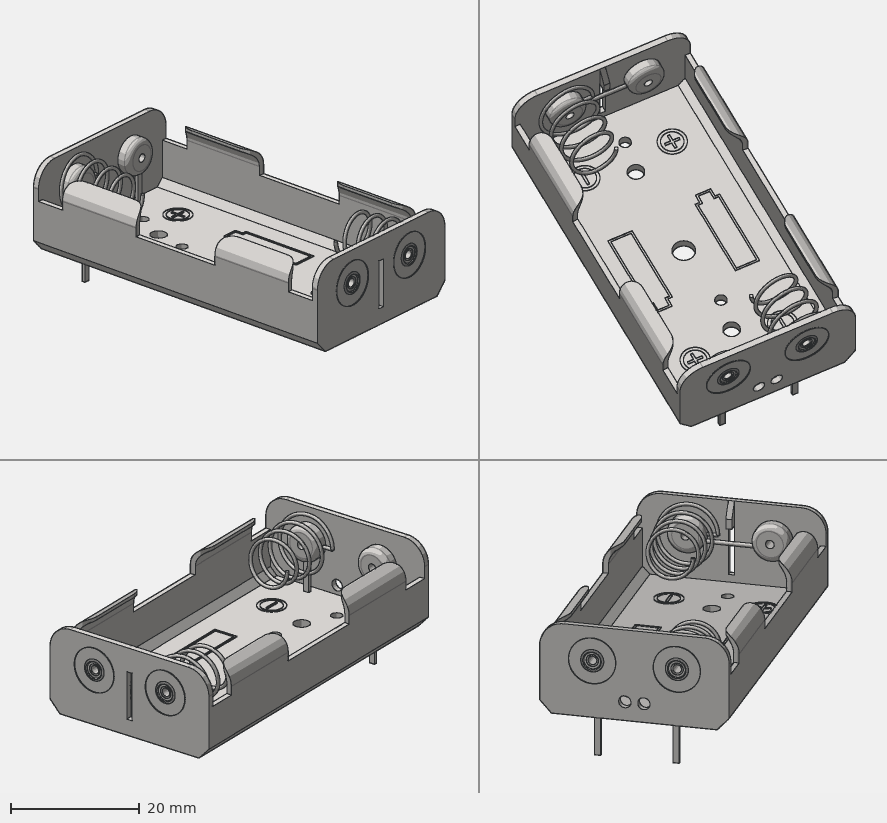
import cadquery as cq
import math

LENGTH = 58.0
WIDTH = 30.5
END_HEIGHT = 15.15
SIDE_HEIGHT = 9.1
END_WALL = 1.05
SIDE_WALL = 0.9
FLOOR = 1.5
END_CORNER_RADIUS = 3.95
BOTTOM_CHAMFER = (1.9, 2.1)
INNER_CHAMFER = 1.2

CLIP_LENGTH = 15.0
CLIP_CENTRE_X = 15.55
CLIP_BEND_HEIGHT = 10.6
CLIP_OUTER_RADIUS = 6.2 / 2
CLIP_INNER_RADIUS = 2.6
CLIP_OVERHANG = 2.8
CLIP_CORNER_RADIUS = 2.6

CONTACT_SPACING = 13.65
CONTACT_Z = 9.4
BUTTON_DIAMETER = 6.2
BUTTON_HEIGHT = 2.25
BUTTON_FILLET = 0.9
RIVET_BORE = 1.4
RECESS_DIAMETER = 7.6
RECESS_DEPTH = 0.2
RIM_DIAMETER = 3.7
RIM_BORE = 2.7
RIM_FILLET = 0.1
RIM_BORE_CHAMFER = 0.145
COUNTERBORE_DIAMETER = 2.0
COUNTERBORE_DEPTH = 0.1

SPRING_WIRE = 0.6
SPRING_BASE_RADIUS = 4.8
SPRING_TIP_RADIUS = 3.65
SPRING_TURNS = 4
SPRING_PITCH = 2.95
BASE_FLAT_TURNS = 0.2
TIP_FLAT_TURNS = 0.3
SPRING_BASE_GAP = 0.6
POINTS_PER_TURN = 16

LINK_WIRE = 0.7
LINK_Z = 8.1
HOOK_WIDTH = 1.0
HOOK_DEPTH = 1.5
HOOK_BOTTOM = 10.95
HOOK_SHOULDER = 12.6
SLOT_BOTTOM = 2.8

PIN_X = -26.2
PIN_YS = (6.6, -6.05)
PIN_SIZE = (0.6, 1.0)
PIN_LENGTH = 7.25

FLOOR_HOLES = (
    (0, 0, 3.65),
    (-16.5, 0, 2.7),
    (16.5, 0, 2.7),
    (-22.0, 2.7, 1.9),
    (-10.85, -1.0, 1.9),
    (22.15, -1.0, 1.9),
)
WIRE_HOLE_DIAMETER = 2.0
WIRE_HOLE_SPACING = 3.1
WIRE_HOLE_Z = 3.15

MARK_DEPTH = 0.1
MARK_LINE = 0.35
CELL_Y = 7.6
CELL_SIZE = (13.85, 4.25)
CELL_TIP = (1.5, 2.65)
SIGN_X = 19.0
SIGN_OUTER_DIAMETER = 4.7
SIGN_INNER_DIAMETER = 3.65
SIGN_BAR = (2.55, 0.4)

INNER_X = LENGTH / 2 - END_WALL
HALF_WIDTH = WIDTH / 2
INNER_Y = HALF_WIDTH - SIDE_WALL
CONTACT_Y = CONTACT_SPACING / 2


def turned(shape):
    """The same shape turned half a turn about the Z axis."""
    return shape.rotate((0, 0, 0), (0, 0, 1), 180)


def block(x_range, y_range, z_range):
    """Box between two limits on each axis."""
    sizes = [high - low for low, high in (x_range, y_range, z_range)]
    corner = (x_range[0], y_range[0], z_range[0])
    return cq.Workplane("XY").box(*sizes, centered=False).translate(corner)


def cylinder_x(diameter, x_start, x_end, y, z):
    """Cylinder along X between two places."""
    plane = cq.Workplane("YZ", origin=(x_start, 0, 0))
    return plane.center(y, z).circle(diameter / 2).extrude(x_end - x_start)


def make_tray():
    """Open tray with tall rounded ends, low sides and chamfered long bottom edges."""
    across, up = BOTTOM_CHAMFER
    outline = (
        cq.Workplane("YZ", origin=(-LENGTH / 2, 0, 0))
        .moveTo(-HALF_WIDTH + across, 0)
        .lineTo(HALF_WIDTH - across, 0)
        .lineTo(HALF_WIDTH, up)
        .lineTo(HALF_WIDTH, END_HEIGHT)
        .lineTo(-HALF_WIDTH, END_HEIGHT)
        .lineTo(-HALF_WIDTH, up)
        .close()
    )
    body = outline.extrude(LENGTH).edges("|X and >Z").fillet(END_CORNER_RADIUS)
    cavity = (
        block((-INNER_X, INNER_X), (-INNER_Y, INNER_Y), (FLOOR, END_HEIGHT))
        .edges("|X and <Z")
        .chamfer(INNER_CHAMFER)
    )
    above_sides = block((-INNER_X, INNER_X), (-HALF_WIDTH, HALF_WIDTH), (SIDE_HEIGHT, END_HEIGHT))
    return body.cut(cavity).cut(above_sides)


def make_clip(x_centre):
    """Clip on the -Y side: the wall carried up and bent inwards, with rounded free corners."""
    outer_y = -HALF_WIDTH + CLIP_OUTER_RADIUS
    inner_y = -INNER_Y + CLIP_INNER_RADIUS
    outer_diagonal = CLIP_OUTER_RADIUS * math.sqrt(0.5)
    inner_diagonal = CLIP_INNER_RADIUS * math.sqrt(0.5)
    curl = (
        cq.Workplane("YZ", origin=(x_centre - CLIP_LENGTH / 2, 0, 0))
        .moveTo(-HALF_WIDTH, SIDE_HEIGHT)
        .lineTo(-HALF_WIDTH, CLIP_BEND_HEIGHT)
        .threePointArc(
            (outer_y - outer_diagonal, CLIP_BEND_HEIGHT + outer_diagonal),
            (outer_y, CLIP_BEND_HEIGHT + CLIP_OUTER_RADIUS),
        )
        .lineTo(inner_y, CLIP_BEND_HEIGHT + CLIP_INNER_RADIUS)
        .threePointArc(
            (inner_y - inner_diagonal, CLIP_BEND_HEIGHT + inner_diagonal),
            (-INNER_Y, CLIP_BEND_HEIGHT),
        )
        .lineTo(-INNER_Y, SIDE_HEIGHT)
        .close()
        .extrude(CLIP_LENGTH)
    )
    plan = block(
        (x_centre - CLIP_LENGTH / 2, x_centre + CLIP_LENGTH / 2),
        (-HALF_WIDTH, -HALF_WIDTH + CLIP_OVERHANG),
        (SIDE_HEIGHT, END_HEIGHT),
    )
    return curl.intersect(plan.edges("|Z and >Y").fillet(CLIP_CORNER_RADIUS))


def make_button(y):
    """Round contact button on the inside of the +X end wall."""
    button = cylinder_x(BUTTON_DIAMETER, INNER_X - BUTTON_HEIGHT, INNER_X, y, CONTACT_Z)
    return button.faces("<X").edges().fillet(BUTTON_FILLET)


def cut_contact(tray, y):
    """Shallow recess with a rolled rivet rim on the outside of the +X end wall, bored through."""
    recess_floor = LENGTH / 2 - RECESS_DEPTH
    recess = cylinder_x(RECESS_DIAMETER, recess_floor, LENGTH / 2, y, CONTACT_Z)
    rim = cylinder_x(RIM_DIAMETER, recess_floor, LENGTH / 2, y, CONTACT_Z)
    rim = rim.faces(">X").edges().fillet(RIM_FILLET)
    rim = rim.cut(cylinder_x(RIM_BORE, recess_floor, LENGTH / 2, y, CONTACT_Z))
    rim = rim.faces(">X").edges(cq.selectors.RadiusNthSelector(0)).chamfer(RIM_BORE_CHAMFER)
    counterbore = cylinder_x(
        COUNTERBORE_DIAMETER, recess_floor - COUNTERBORE_DEPTH, recess_floor, y, CONTACT_Z
    )
    bore = cylinder_x(RIVET_BORE, INNER_X - BUTTON_HEIGHT, LENGTH / 2, y, CONTACT_Z)
    return tray.cut(recess).union(rim).cut(counterbore).cut(bore)


def make_spring():
    """Tapering coil spring around the +X, +Y button, with a stub joining it to the button."""
    base_x = INNER_X - SPRING_BASE_GAP
    last_advancing_turn = SPRING_TURNS - TIP_FLAT_TURNS
    points = []
    for step in range(SPRING_TURNS * POINTS_PER_TURN + 1):
        turn = step / POINTS_PER_TURN
        angle = 2 * math.pi * turn
        advancing_turns = min(max(turn, BASE_FLAT_TURNS), last_advancing_turn) - BASE_FLAT_TURNS
        taper = (SPRING_BASE_RADIUS - SPRING_TIP_RADIUS) * turn / SPRING_TURNS
        radius = SPRING_BASE_RADIUS - taper
        points.append(
            cq.Vector(
                base_x - SPRING_PITCH * advancing_turns,
                CONTACT_Y - radius * math.cos(angle),
                CONTACT_Z + radius * math.sin(angle),
            )
        )
    path = cq.Workplane(cq.Edge.makeSpline(points))
    start = points[0].toTuple()
    coil = (
        cq.Workplane("XY", origin=start)
        .circle(SPRING_WIRE / 2)
        .sweep(path, isFrenet=True)
    )
    stub_end_radius = BUTTON_DIAMETER / 4
    stub = (
        cq.Workplane("XZ", origin=start)
        .circle(SPRING_WIRE / 2)
        .extrude(stub_end_radius - SPRING_BASE_RADIUS)
    )
    return coil.union(stub)


def make_link():
    """Wire along the +X end wall that joins its two buttons."""
    return (
        cq.Workplane("XZ", origin=(INNER_X - LINK_WIRE / 2, CONTACT_Y, LINK_Z))
        .circle(LINK_WIRE / 2)
        .extrude(CONTACT_SPACING)
    )


def make_hook():
    """Hook in the middle of the +X end wall, with a sloping top."""
    return (
        cq.Workplane("XZ", origin=(0, HOOK_WIDTH / 2, 0))
        .moveTo(INNER_X, HOOK_BOTTOM)
        .lineTo(INNER_X - HOOK_DEPTH, HOOK_BOTTOM)
        .lineTo(INNER_X - HOOK_DEPTH, HOOK_SHOULDER)
        .lineTo(INNER_X, END_HEIGHT)
        .close()
        .extrude(HOOK_WIDTH)
    )


def make_pin(y):
    """Flat solder pin from a contact button down through the floor."""
    height = PIN_LENGTH + CONTACT_Z - BUTTON_DIAMETER / 4
    return cq.Workplane("XY", origin=(PIN_X, y, -PIN_LENGTH)).rect(*PIN_SIZE).extrude(height)


def make_marks():
    """Engraving for the +Y cell: cell outline, plus sign at -X and minus sign at +X."""
    plane = cq.Workplane("XY", origin=(0, CELL_Y, FLOOR - MARK_DEPTH))
    cell_length, cell_width = CELL_SIZE
    tip_length, tip_width = CELL_TIP
    tip_x = -cell_length / 2 - tip_length / 2
    outer = plane.rect(cell_length, cell_width).extrude(MARK_DEPTH)
    outer = outer.union(plane.center(tip_x, 0).rect(tip_length, tip_width).extrude(MARK_DEPTH))
    inner = outer.faces(">Z").wires().toPending().offset2D(-MARK_LINE, "intersection")
    marks = outer.cut(inner.extrude(-MARK_DEPTH, combine=False))

    bar_length, bar_width = SIGN_BAR
    for sign_x in (-SIGN_X, SIGN_X):
        centre = plane.center(sign_x, 0)
        ring = centre.circle(SIGN_OUTER_DIAMETER / 2).circle(SIGN_INNER_DIAMETER / 2)
        marks = marks.union(ring.extrude(MARK_DEPTH))
        marks = marks.union(centre.rect(bar_length, bar_width).extrude(MARK_DEPTH))
    upright = plane.center(-SIGN_X, 0).rect(bar_width, bar_length).extrude(MARK_DEPTH)
    return marks.union(upright)


result = make_tray()
for clip_x in (-CLIP_CENTRE_X, CLIP_CENTRE_X):
    clip = make_clip(clip_x)
    result = result.union(clip).union(turned(clip))

for x, y, diameter in FLOOR_HOLES:
    result = result.cut(cq.Workplane("XY").center(x, y).circle(diameter / 2).extrude(FLOOR))
for y in (-WIRE_HOLE_SPACING / 2, WIRE_HOLE_SPACING / 2):
    result = result.cut(cylinder_x(WIRE_HOLE_DIAMETER, -LENGTH / 2, -INNER_X, y, WIRE_HOLE_Z))
marks = make_marks()
result = result.cut(marks).cut(turned(marks))

slot = block(
    (INNER_X, LENGTH / 2),
    (-HOOK_WIDTH / 2, HOOK_WIDTH / 2),
    (SLOT_BOTTOM, HOOK_BOTTOM),
)
result = result.cut(slot)
for y in PIN_YS:
    result = result.union(make_pin(y))
result = result.union(make_link()).union(make_hook())

for y in (-CONTACT_Y, CONTACT_Y):
    button = make_button(y)
    result = result.union(button).union(turned(button))
for y in (-CONTACT_Y, CONTACT_Y):
    result = turned(cut_contact(turned(cut_contact(result, y)), y))
spring = make_spring()
result = result.union(spring).union(turned(spring))